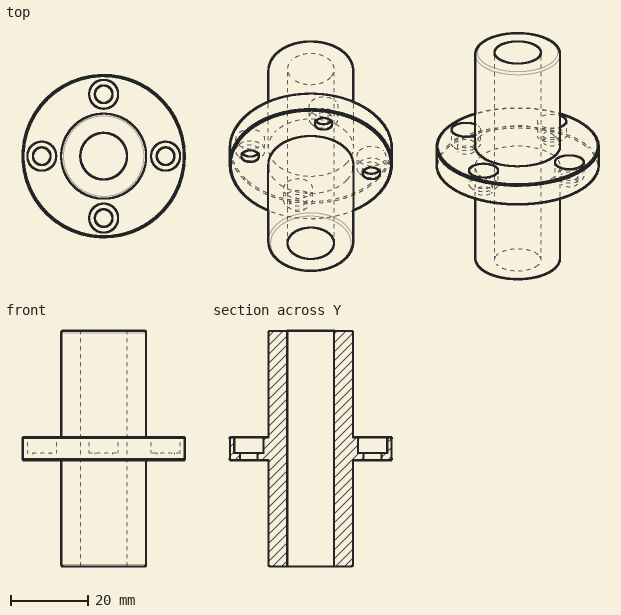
import cadquery as cq

sleeve_diameter = 22.0
sleeve_length = 61.0
bore_diameter = 12.0
sleeve_edge_radius = 0.6

flange_diameter = 42.0
flange_thickness = 6.0
flange_edge_chamfer = 0.3

hole_count = 4
hole_circle_diameter = 32.0
hole_diameter = 4.5
counterbore_diameter = 7.5
counterbore_depth = 4.1


def make_cylinder(diameter, length):
    """Cylinder along Z, centred on the origin."""
    return cq.Workplane("XY").cylinder(length, diameter / 2)


def make_sleeve():
    """Solid sleeve with both end rims rounded."""
    return make_cylinder(sleeve_diameter, sleeve_length).edges("%CIRCLE").fillet(sleeve_edge_radius)


def make_flange():
    """Flange disc with both rims chamfered."""
    return make_cylinder(flange_diameter, flange_thickness).edges("%CIRCLE").chamfer(flange_edge_chamfer)


def cut_bore(body):
    """Straight bore through the full sleeve length."""
    return body.cut(make_cylinder(bore_diameter, sleeve_length))


def cut_mounting_holes(body):
    """Flange holes on the X and Y axes, counterbored from the upper flange face."""
    return (
        body.copyWorkplane(cq.Workplane("XY", origin=(0, 0, flange_thickness / 2)))
        .polarArray(hole_circle_diameter / 2, 0, 360, hole_count)
        .cboreHole(hole_diameter, counterbore_diameter, counterbore_depth, flange_thickness)
    )


flange = cut_mounting_holes(make_flange())
result = cut_bore(flange.union(make_sleeve()))